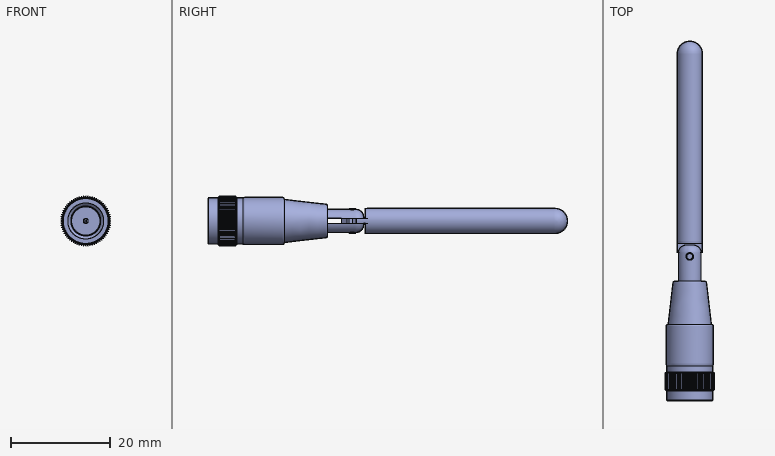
import cadquery as cq
import math

total_length = 72.0

nut_length = 7.0
nut_radius = 4.65
lip_chamfer = 0.15
knurl_start = 2.0
knurl_end = 5.8
knurl_tip_radius = 5.0
knurl_root_radius = 4.68
knurl_teeth = 72
tooth_width_share = 0.75
tooth_sink = 0.05
mouth_radius = 3.6
thread_major_radius = 3.3
thread_minor_radius = 3.0
shoulder_bore_radius = 2.85
thread_pitch = 0.7
thread_turns = 8

barrel_radius = 4.75
barrel_end = 15.3
barrel_rear_bevel_length = 0.45
barrel_rear_bevel_depth = 0.1
barrel_fillet = 0.4
taper_large_radius = barrel_radius - barrel_fillet
taper_small_radius = 3.35
taper_end = 23.95
taper_fillet = 0.4
fork_radius = 2.35
fork_end = 31.2
fork_end_fillet = 1.6
slot_width = 1.0
contact_radius = 0.5
contact_tip = 2.0
contact_tip_chamfer = 0.3

pivot_y = 28.9
pivot_radius = 0.75
pivot_half_length = 2.5
pivot_end_chamfer = 0.15
tongue_thickness = slot_width

rod_radius = 2.55
rod_end = 31.45
rod_bevel_length = 0.45
rod_bevel_depth = 0.05
tongue_shoulder_y = 29.7
tongue_half_width = 2.0
tongue_tip_half_width = 1.2
tongue_corner_y = 27.8
tongue_tip_y = 26.7
tongue_tip_chamfer = 0.2
detent_half_width = 0.7
detent_depth = 0.4


def revolve_about_y(profile):
    """Full turn of an XY profile about the Y axis."""
    return profile.close().revolve(360, (0, 0, 0), (0, 1, 0))


def cylinder_z(x, y, radius, half_length):
    """Cylinder along Z, centred on the XY plane."""
    return cq.Workplane("XY").center(x, y).circle(radius).extrude(half_length, both=True)


def make_knurl_tooth():
    """One triangular tooth at the +X side, with 45 degree ends."""
    height = knurl_tip_radius - knurl_root_radius
    base_radius = knurl_root_radius - tooth_sink
    half_base = tooth_width_share * math.pi * base_radius / knurl_teeth
    tooth = (
        cq.Workplane("XZ", origin=(0, knurl_start, 0))
        .moveTo(base_radius, -half_base)
        .lineTo(knurl_tip_radius, 0)
        .lineTo(base_radius, half_base)
        .close()
        .extrude(knurl_start - knurl_end)
    )
    ends = (
        cq.Workplane("XY")
        .moveTo(base_radius, knurl_start)
        .lineTo(knurl_root_radius, knurl_start)
        .lineTo(knurl_tip_radius, knurl_start + height)
        .lineTo(knurl_tip_radius, knurl_end - height)
        .lineTo(knurl_root_radius, knurl_end)
        .lineTo(base_radius, knurl_end)
        .close()
        .extrude(2 * half_base, both=True)
    )
    return tooth.intersect(ends)


def make_nut():
    """Threaded ring with a knurled band and a plain shoulder at its inner end."""
    mouth_depth = mouth_radius - thread_major_radius
    profile = (
        cq.Workplane("XY")
        .moveTo(mouth_radius, 0)
        .lineTo(nut_radius - lip_chamfer, 0)
        .lineTo(nut_radius, lip_chamfer)
        .lineTo(nut_radius, knurl_start)
        .lineTo(knurl_root_radius, knurl_start)
        .lineTo(knurl_root_radius, knurl_end)
        .lineTo(nut_radius, knurl_end)
        .lineTo(nut_radius, nut_length)
        .lineTo(shoulder_bore_radius, nut_length)
    )
    thread_end = mouth_depth + thread_turns * thread_pitch
    profile = profile.lineTo(shoulder_bore_radius, thread_end)
    profile = profile.lineTo(thread_major_radius, thread_end)
    for turn in range(thread_turns):
        ridge_start = thread_end - turn * thread_pitch
        profile = profile.lineTo(thread_minor_radius, ridge_start - thread_pitch / 2)
        profile = profile.lineTo(thread_major_radius, ridge_start - thread_pitch)
    ring = revolve_about_y(profile).val()

    tooth = make_knurl_tooth().val()
    teeth = []
    for index in range(knurl_teeth):
        angle = index * 360 / knurl_teeth
        teeth.append(tooth.rotate(cq.Vector(0, 0, 0), cq.Vector(0, 1, 0), angle))
    return cq.Workplane(ring.fuse(*teeth)).solids()


def make_housing():
    """Barrel, taper and fork in one piece, with the hinge pivot and the contact pin."""
    barrel = revolve_about_y(
        cq.Workplane("XY")
        .moveTo(0, nut_length)
        .lineTo(barrel_radius - barrel_rear_bevel_depth, nut_length)
        .lineTo(barrel_radius, nut_length + barrel_rear_bevel_length)
        .lineTo(barrel_radius, barrel_end)
        .lineTo(0, barrel_end)
    )
    barrel = barrel.faces(">Y").edges().fillet(barrel_fillet)

    taper = revolve_about_y(
        cq.Workplane("XY")
        .moveTo(0, barrel_end)
        .lineTo(taper_large_radius, barrel_end)
        .lineTo(taper_small_radius, taper_end)
        .lineTo(0, taper_end)
    )
    taper = taper.faces(">Y").edges().fillet(taper_fillet)

    fork_length = fork_end - taper_end
    fork = cq.Workplane("XZ", origin=(0, taper_end, 0)).circle(fork_radius).extrude(-fork_length)
    fork = fork.faces(">Y").edges().fillet(fork_end_fillet)
    slot = cq.Workplane("XY").box(2 * fork_radius, fork_length, slot_width)
    fork = fork.cut(slot.translate((0, taper_end + fork_length / 2, 0)))

    pivot = cylinder_z(0, pivot_y, pivot_radius, pivot_half_length)
    pivot = pivot.faces("<Z or >Z").edges().chamfer(pivot_end_chamfer)

    contact_length = nut_length - contact_tip
    contact = cq.Workplane("XZ", origin=(0, nut_length, 0)).circle(contact_radius).extrude(contact_length)
    contact = contact.faces("<Y").edges().chamfer(contact_tip_chamfer)

    return barrel.union(taper).union(fork).union(pivot).union(contact).solids()


def make_tongue():
    """Flat hinge tongue with a V detent on each side of the pivot."""
    right_side = [
        (rod_radius, rod_end + rod_bevel_length),
        (rod_radius, tongue_shoulder_y),
        (tongue_half_width, tongue_shoulder_y),
        (tongue_half_width, pivot_y + detent_half_width),
        (tongue_half_width - detent_depth, pivot_y),
        (tongue_half_width, pivot_y - detent_half_width),
        (tongue_half_width, tongue_corner_y),
        (tongue_tip_half_width, tongue_tip_y + tongue_tip_chamfer),
        (tongue_tip_half_width - tongue_tip_chamfer, tongue_tip_y),
    ]
    left_side = [(-x, y) for x, y in reversed(right_side)]
    blank = (
        cq.Workplane("XY")
        .polyline(right_side + left_side)
        .close()
        .extrude(tongue_thickness / 2, both=True)
    )
    envelope = cq.Workplane("XZ").circle(rod_radius).extrude(-total_length)
    return blank.intersect(envelope)


def make_rod():
    """Round rod with a domed tip and a tongue bored for the pivot."""
    dome_start = total_length - rod_radius
    dome_mid = rod_radius * math.sqrt(0.5)
    rod = revolve_about_y(
        cq.Workplane("XY")
        .moveTo(0, rod_end)
        .lineTo(rod_radius - rod_bevel_depth, rod_end)
        .lineTo(rod_radius, rod_end + rod_bevel_length)
        .lineTo(rod_radius, dome_start)
        .threePointArc((dome_mid, dome_start + dome_mid), (0, total_length))
    )
    pivot_hole = cylinder_z(0, pivot_y, pivot_radius, tongue_thickness)
    return rod.union(make_tongue()).cut(pivot_hole).solids()


nut = make_nut()
housing = make_housing()
rod = make_rod()

result = cq.Compound.makeCompound([nut.val(), housing.val(), rod.val()])